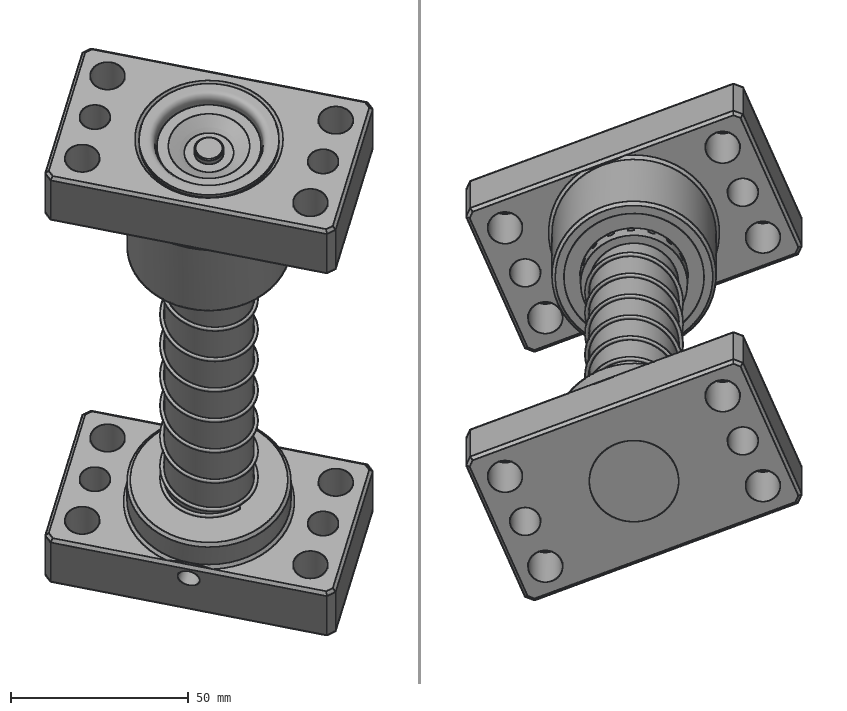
import cadquery as cq
import math


total_height = 187.6

plate_length = 84.0
plate_width = 48.0
plate_height = 20.0
plate_turn = 3.6
corner_chamfer = 2.0
edge_chamfer = 1.0

corner_hole_diameter = 9.8
middle_hole_diameter = 8.6
hole_offset_x = 33.0
hole_offset_y = 15.0

boss_radius = 23.0
boss_foot = 1.0
upper_boss_height = 30.0
lower_boss_height = 10.0

side_hole_diameter = 6.4
side_hole_depth_below_top = 5.0

post_radius = 12.5
cage_radius = 15.0
cage_bottom = 133.0
ball_count = 16
ball_hole_diameter = 1.9
ball_drop = 0.4
bushing_radius = 19.7
bushing_bore_radius = 15.2
bushing_mouth_fillet = 2.3
bushing_seat_chamfer = 1.1

stopper_radius = 14.6
stopper_recess = 3.2
stopper_thickness = 5.0
pit_mouth_radius = 11.5
pit_wall_radius = 8.3
pit_floor_radius = 7.0
pit_wall_depth = 2.0
pit_floor_depth = 3.0
pin_radius = 4.1
pin_height = 2.0
pin_chamfer = 0.4

wire_radius = 0.5
wire_clearance = 0.1
spring_pitch = 14.0
closed_turns = 0.9
closed_rise = 0.8
transition_turns = 0.5
transition_rise = 5.5
wire_end_angle = -33.0
points_per_turn = 16

upper_plate_bottom = total_height - plate_height
upper_boss_bottom = upper_plate_bottom - upper_boss_height
lower_boss_top = plate_height + lower_boss_height
stopper_top = total_height - stopper_recess
stopper_bottom = stopper_top - stopper_thickness
pit_floor = stopper_top - pit_floor_depth
spring_radius = post_radius + wire_clearance + wire_radius


def cylinder(radius, bottom, top):
    return cq.Workplane("XY").workplane(offset=bottom).circle(radius).extrude(top - bottom)


def chamfered_plate():
    return (
        cq.Workplane("XY")
        .rect(plate_length, plate_width)
        .extrude(plate_height)
        .edges("|Z")
        .chamfer(corner_chamfer)
        .faces("<Z or >Z")
        .edges()
        .chamfer(edge_chamfer)
    )


def boss(height):
    """Boss standing on the plate, its foot flare trimmed to the flat of the plate top."""
    top = plate_height + height
    column = cylinder(boss_radius, plate_height, top).faces(">Z").edges().chamfer(edge_chamfer)
    flare = (
        cq.Workplane("XY")
        .workplane(offset=plate_height)
        .circle(boss_radius + boss_foot)
        .workplane(offset=boss_foot)
        .circle(boss_radius)
        .loft()
    )
    flat_length = plate_length - 2 * edge_chamfer
    flat_width = plate_width - 2 * edge_chamfer
    plate_flat = (
        cq.Workplane("XY")
        .workplane(offset=plate_height)
        .rect(flat_length, flat_width)
        .extrude(boss_foot)
    )
    return column.union(flare.intersect(plate_flat))


def mounting_holes():
    corners = cq.Workplane("XY").rect(2 * hole_offset_x, 2 * hole_offset_y, forConstruction=True)
    corner_holes = corners.vertices().circle(corner_hole_diameter / 2).extrude(plate_height)
    middles = cq.Workplane("XY").pushPoints([(-hole_offset_x, 0), (hole_offset_x, 0)])
    return corner_holes.union(middles.circle(middle_hole_diameter / 2).extrude(plate_height))


def holder(boss_height, bore_radius):
    """Plate with a boss on top and a bore through both, resting on Z = 0 and not yet turned."""
    body = chamfered_plate().union(boss(boss_height)).cut(mounting_holes())
    return body.cut(cylinder(bore_radius, 0, plate_height + boss_height))


def turned(body):
    return body.rotate((0, 0, 0), (0, 0, 1), plate_turn)


def make_lower_holder():
    side_hole = (
        cq.Workplane("XZ")
        .center(0, plate_height - side_hole_depth_below_top)
        .circle(side_hole_diameter / 2)
        .extrude(plate_width)
    )
    return turned(holder(lower_boss_height, post_radius).cut(side_hole))


def make_upper_holder():
    """The same shape with a longer boss, hung upside down, its bore chamfered at the plate face."""
    body = holder(upper_boss_height, bushing_radius)
    body = body.rotate((0, 0, 0), (1, 0, 0), 180).translate((0, 0, total_height))
    bore_rim = (
        cq.Workplane("XY")
        .workplane(offset=total_height)
        .circle(bushing_radius + bushing_seat_chamfer)
        .workplane(offset=-bushing_seat_chamfer)
        .circle(bushing_radius)
        .loft()
    )
    return turned(body.cut(bore_rim))


def make_bushing():
    sleeve = cylinder(bushing_radius, upper_boss_bottom, total_height)
    sleeve = sleeve.cut(cylinder(bushing_bore_radius, upper_boss_bottom, total_height))
    mouth = sleeve.faces(">Z").edges(cq.selectors.RadiusNthSelector(0))
    return mouth.fillet(bushing_mouth_fillet)


def make_cage():
    """Tube on the post with a ring of radial ball holes where it leaves the bushing."""
    cage = cylinder(cage_radius, cage_bottom, stopper_bottom)
    cage = cage.cut(cylinder(post_radius, cage_bottom, stopper_bottom))
    for index in range(ball_count):
        angle = index * 360 / ball_count
        ball_hole = (
            cq.Workplane("YZ")
            .center(0, upper_boss_bottom - ball_drop)
            .circle(ball_hole_diameter / 2)
            .extrude(bushing_radius)
            .rotate((0, 0, 0), (0, 0, 1), angle)
        )
        cage = cage.cut(ball_hole)
    return cage


def make_stopper():
    """Disc on the post end with a dished pit, and a hole for the pin."""
    wall_level = stopper_top - pit_wall_depth
    profile = (
        cq.Workplane("XZ")
        .moveTo(pin_radius, stopper_bottom)
        .lineTo(stopper_radius, stopper_bottom)
        .lineTo(stopper_radius, stopper_top)
        .lineTo(pit_mouth_radius, stopper_top)
        .lineTo(pit_wall_radius, wall_level)
        .lineTo(pit_floor_radius, pit_floor)
        .lineTo(pin_radius, pit_floor)
        .close()
    )
    return profile.revolve(360, (0, 0, 0), (0, 1, 0))


def make_pin():
    return cylinder(pin_radius, stopper_bottom, pit_floor + pin_height).faces(">Z").chamfer(pin_chamfer)


def spring_level(turns):
    """Height of the wire centre above its lower end after a number of turns."""
    closed = min(turns, closed_turns) / closed_turns
    transition = min(max(turns - closed_turns, 0), transition_turns) / transition_turns
    open_turns = max(turns - closed_turns - transition_turns, 0)
    return closed * closed_rise + transition * transition_rise + open_turns * spring_pitch


def make_spring():
    lower_end = lower_boss_top + wire_radius + wire_clearance
    upper_end = cage_bottom - wire_radius - wire_clearance
    open_rise = upper_end - lower_end - closed_rise - transition_rise
    turn_count = closed_turns + transition_turns + open_rise / spring_pitch
    step_count = round(turn_count * points_per_turn)
    centreline = []
    for step in range(step_count + 1):
        turns = turn_count * step / step_count
        angle = math.radians(wire_end_angle) - 2 * math.pi * turns
        x = spring_radius * math.cos(angle)
        y = spring_radius * math.sin(angle)
        centreline.append(cq.Vector(x, y, lower_end + spring_level(turns)))
    path = cq.Edge.makeSpline(centreline)
    section = cq.Plane(origin=path.positionAt(0), normal=path.tangentAt(0))
    return cq.Workplane(section).circle(wire_radius).sweep(cq.Workplane(path), isFrenet=True)


lower_holder = make_lower_holder()
upper_holder = make_upper_holder()
bushing = make_bushing()
cage = make_cage()
post = cylinder(post_radius, 0, stopper_bottom)
stopper = make_stopper()
pin = make_pin()
spring = make_spring()

result = cq.Compound.makeCompound(
    [
        lower_holder.val(),
        upper_holder.val(),
        bushing.val(),
        cage.val(),
        post.val(),
        stopper.val(),
        pin.val(),
        spring.val(),
    ]
)